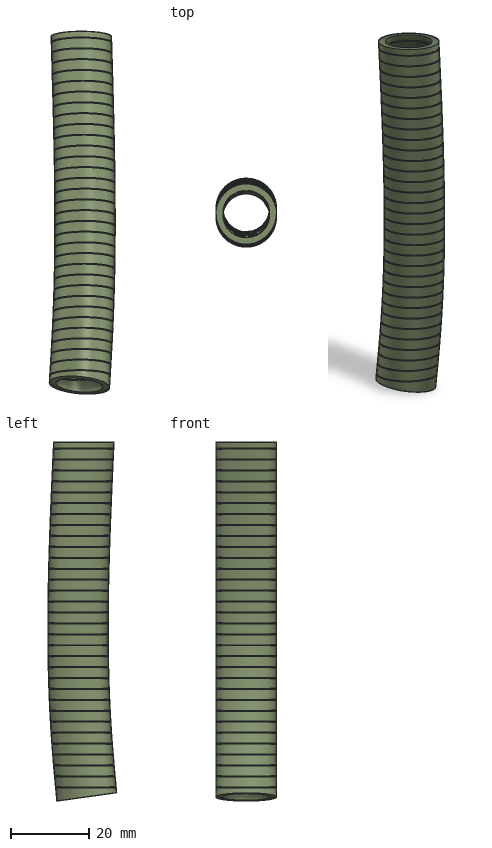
import cadquery as cq

OUTER_DIAMETER = 15.49
BORE_DIAMETER = 12.0

LOWER_KNOT = (0.0, 0.59, -75.0)
BOTTOM_END = (0.0, -0.75, -90.7)
TOP_SLOPE = 0.046
BOTTOM_SLOPE = -0.093

GROOVE_COUNT = 32
GROOVE_PITCH = 2.793
GROOVE_WIDTH = 0.25
GROOVE_DEPTH = 1.5
FIRST_GROOVE_DROP = 1.64
GROOVE_CUTTER_RADIUS = OUTER_DIAMETER


def make_centreline():
    """Gently bowed curve that the tube follows from top to bottom."""
    return cq.Workplane("XY").spline(
        [(0.0, 0.0, 0.0), LOWER_KNOT, BOTTOM_END],
        tangents=[(0.0, TOP_SLOPE, -1.0), (0.0, BOTTOM_SLOPE, -1.0)],
    )


def make_rod(diameter):
    """Solid rod whose level top circle is carried along the centreline."""
    return cq.Workplane("XY").circle(diameter / 2).sweep(make_centreline())


def make_grooves():
    """Thin horizontal rings reaching from outside the tube down to the groove floors."""
    mid_heights = [-FIRST_GROOVE_DROP - index * GROOVE_PITCH for index in range(GROOVE_COUNT)]
    discs = (
        cq.Workplane("XY")
        .pushPoints([(0.0, 0.0, height) for height in mid_heights])
        .cylinder(GROOVE_WIDTH, GROOVE_CUTTER_RADIUS)
    )
    core = make_rod(OUTER_DIAMETER - 2 * GROOVE_DEPTH)
    return discs.cut(core)


tube = make_rod(OUTER_DIAMETER).cut(make_rod(BORE_DIAMETER))
result = tube.cut(make_grooves())